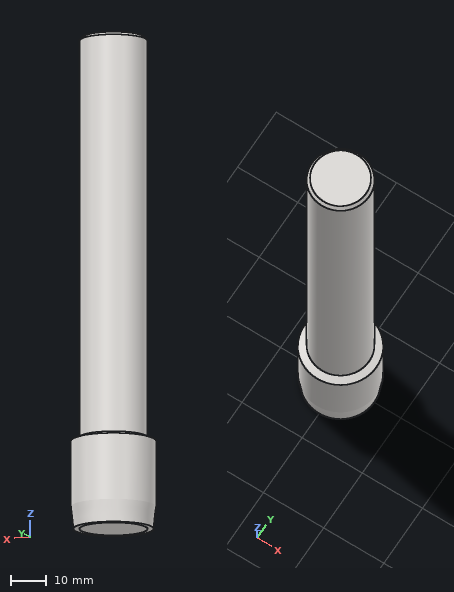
import cadquery as cq

TOTAL_LENGTH = 140.0
PIN_DIAMETER = 19.0
PIN_RADIUS = PIN_DIAMETER / 2
PIN_CHAMFER = 1.0

SLEEVE_DIAMETER = 24.0
SLEEVE_RADIUS = SLEEVE_DIAMETER / 2
SLEEVE_HEIGHT = 26.0
SHOULDER_RISE = 1.0
NOSE_HEIGHT = 6.3
NOSE_INSET = 0.7


def make_pin():
    """Plain round pin running the full length, chamfered at the top."""
    return (
        cq.Workplane("XY")
        .circle(PIN_RADIUS)
        .extrude(TOTAL_LENGTH)
        .faces(">Z")
        .chamfer(PIN_CHAMFER)
    )


def make_sleeve():
    """Revolved sleeve with a conical top face and a slightly tapered nose."""
    return (
        cq.Workplane("XZ")
        .moveTo(PIN_RADIUS, 0)
        .lineTo(PIN_RADIUS, SLEEVE_HEIGHT)
        .lineTo(SLEEVE_RADIUS, SLEEVE_HEIGHT - SHOULDER_RISE)
        .lineTo(SLEEVE_RADIUS, NOSE_HEIGHT)
        .lineTo(SLEEVE_RADIUS - NOSE_INSET, 0)
        .close()
        .revolve(360, (0, 0, 0), (0, 1, 0))
    )


pin = make_pin()
sleeve = make_sleeve()
result = cq.Compound.makeCompound([pin.val(), sleeve.val()])